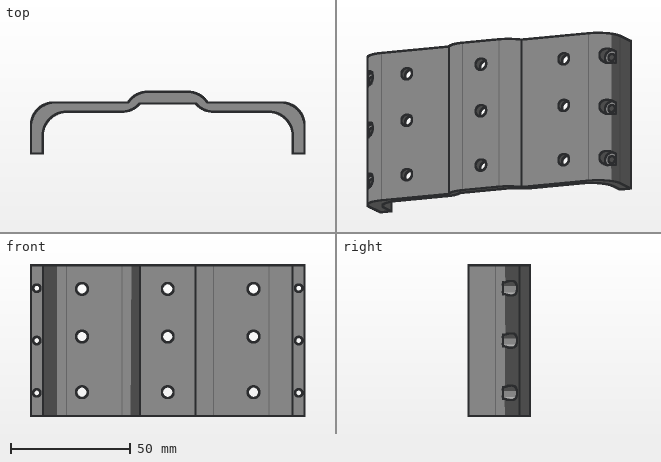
import cadquery as cq
import math

length = 114.8
depth = 26.0
height = 63.3
half_length = length / 2

flange_thickness = 5.0
web_thickness = 4.0
crown_thickness = 5.0
crown_rise = 4.5
bend_radius = 10.0
web_outer_y = depth - crown_rise
web_inner_y = web_outer_y - web_thickness
crown_inner_y = depth - crown_thickness

crown_outer_flat = 8.3
crown_inner_flat = 11.7

web_hole_diameter = 4.8
web_hole_spacing = 35.9
web_hole_heights = (10.0, 33.3, 53.3)

flange_hole_diameter = 3.0
counterbore_diameter = 6.1
counterbore_floor_y = 14.5
flange_hole_spacing = 21.9
flange_hole_x = half_length - flange_thickness / 2


def arc_run(rise):
    """Horizontal run of a bend arc climbing by rise from or to a level tangent."""
    return math.sqrt(2 * bend_radius * rise - rise**2)


def arc_middle_angle(rise):
    """Half of the angle swept by a bend arc climbing by rise."""
    return math.acos(1 - rise / bend_radius) / 2


def half_section():
    """Section of the +X half, closed along the symmetry plane."""
    outer_run = arc_run(crown_rise)
    outer_angle = arc_middle_angle(crown_rise)
    inner_rise = crown_inner_y - web_inner_y
    inner_angle = arc_middle_angle(inner_rise)
    inner_arc_end = crown_inner_flat + arc_run(inner_rise)
    flange_inner_x = half_length - flange_thickness
    bend_middle = bend_radius * (1 - math.sqrt(0.5))

    return (
        cq.Workplane("XY")
        .moveTo(0, depth)
        .lineTo(crown_outer_flat, depth)
        .threePointArc(
            (
                crown_outer_flat + bend_radius * math.sin(outer_angle),
                depth - bend_radius * (1 - math.cos(outer_angle)),
            ),
            (crown_outer_flat + outer_run, web_outer_y),
        )
        .lineTo(half_length - bend_radius, web_outer_y)
        .threePointArc(
            (half_length - bend_middle, web_outer_y - bend_middle),
            (half_length, web_outer_y - bend_radius),
        )
        .lineTo(half_length, 0)
        .lineTo(flange_inner_x, 0)
        .lineTo(flange_inner_x, web_inner_y - bend_radius)
        .threePointArc(
            (flange_inner_x - bend_middle, web_inner_y - bend_middle),
            (flange_inner_x - bend_radius, web_inner_y),
        )
        .lineTo(inner_arc_end, web_inner_y)
        .threePointArc(
            (
                inner_arc_end - bend_radius * math.sin(inner_angle),
                web_inner_y + bend_radius * (1 - math.cos(inner_angle)),
            ),
            (crown_inner_flat, crown_inner_y),
        )
        .lineTo(0, crown_inner_y)
        .close()
    )


def cylinders_along_y(points, diameter, start_y):
    """Cutting cylinders at (x, z) points, from start_y to the back of the part."""
    return (
        cq.Workplane("XZ", origin=(0, start_y, 0))
        .pushPoints(points)
        .circle(diameter / 2)
        .extrude(start_y - depth)
    )


half_body = half_section().extrude(height)
body = half_body.union(half_body.mirror("YZ"))

web_hole_points = [(column * web_hole_spacing, z) for column in (-1, 0, 1) for z in web_hole_heights]
body = body.cut(cylinders_along_y(web_hole_points, web_hole_diameter, 0))

flange_hole_points = [
    (side * flange_hole_x, height / 2 + row * flange_hole_spacing)
    for side in (-1, 1)
    for row in (-1, 0, 1)
]
body = body.cut(cylinders_along_y(flange_hole_points, flange_hole_diameter, 0))
body = body.cut(cylinders_along_y(flange_hole_points, counterbore_diameter, counterbore_floor_y))

result = body